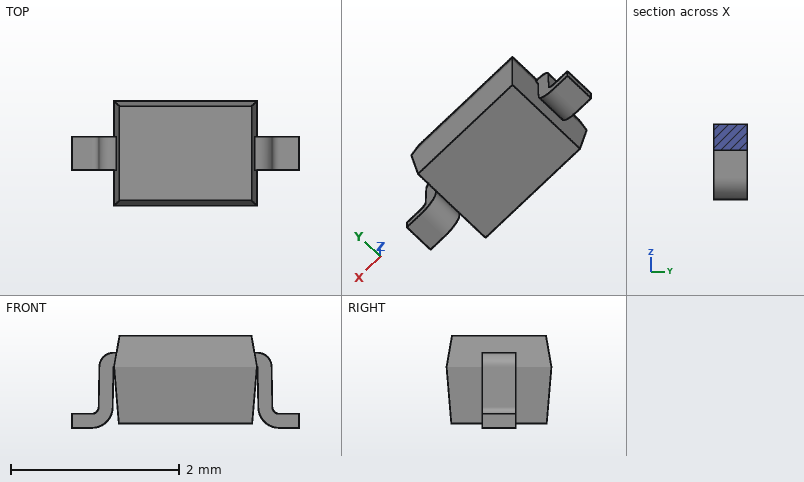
import cadquery as cq
import math

overall_length = 2.7
top_height = 1.1

body_length = 1.7
body_width = 1.25
body_bottom = 0.05
parting_height = 0.725
top_inset = 0.065
bottom_inset = 0.057

lead_thickness = 0.17
lead_width = 0.4
foot_bend_radius = 0.08
foot_length = 0.235
shank_lean = 0.008
embed_length = 0.162


def body_half(end_height, inset):
    """Tapered block from the parting plane to a smaller face at end_height."""
    return (
        cq.Workplane("XY")
        .workplane(offset=parting_height)
        .rect(body_length, body_width)
        .workplane(offset=end_height - parting_height)
        .rect(body_length - 2 * inset, body_width - 2 * inset)
        .loft(ruled=True, combine=True)
    )


def left_lead():
    """Lead on the -X side: foot, lower bend, leaning shank, shoulder and stub."""
    tip = -overall_length / 2
    bend_x = tip + foot_length
    outer_radius = foot_bend_radius + lead_thickness
    bend_z = outer_radius
    shoulder_x = bend_x + outer_radius + shank_lean
    shoulder_top = parting_height + lead_thickness
    stub_end = shoulder_x + embed_length
    diagonal = math.sqrt(0.5)

    profile = (
        cq.Workplane("XZ", origin=(0, lead_width / 2, 0))
        .moveTo(tip, 0)
        .lineTo(bend_x, 0)
        .threePointArc(
            (bend_x + outer_radius * diagonal, bend_z - outer_radius * diagonal),
            (bend_x + outer_radius, bend_z),
        )
        .lineTo(shoulder_x, parting_height)
        .lineTo(stub_end, parting_height)
        .lineTo(stub_end, shoulder_top)
        .lineTo(shoulder_x, shoulder_top)
        .threePointArc(
            (shoulder_x - lead_thickness * diagonal, parting_height + lead_thickness * diagonal),
            (shoulder_x - lead_thickness, parting_height),
        )
        .lineTo(bend_x + foot_bend_radius, bend_z)
        .threePointArc(
            (bend_x + foot_bend_radius * diagonal, bend_z - foot_bend_radius * diagonal),
            (bend_x, lead_thickness),
        )
        .lineTo(tip, lead_thickness)
        .close()
    )
    return profile.extrude(lead_width)


body = body_half(top_height, top_inset).union(body_half(body_bottom, bottom_inset))
lead = left_lead()
result = body.union(lead).union(lead.mirror("YZ"))